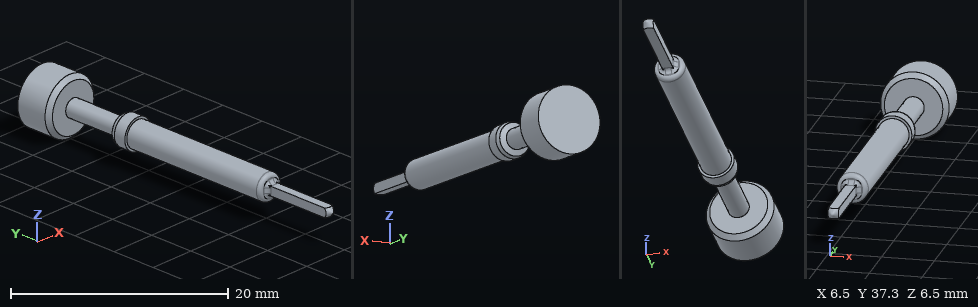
import cadquery as cq
import math

total_length = 37.3

head_diameter = 6.5
head_length = 4.0
head_chamfer = 0.5

shaft_diameter = 2.0

collar_diameter = 3.5
collar_rim_diameter = 3.17
collar_start = 10.25
collar_rim = 10.48
collar_shoulder = 10.93
collar_end = 12.27

barrel_diameter = 3.0
barrel_end = 29.28
barrel_round = 0.45

tail_width = 1.0
tail_flare = 0.45
tail_flare_flat_width = 0.55
tail_point_angle = 45.0


def cylinder(diameter, start, end):
    """Cylinder on the Y axis; start and end are distances from the head face."""
    return cq.Workplane("XZ").workplane(offset=start).circle(diameter / 2).extrude(end - start)


def make_head():
    return cylinder(head_diameter, 0, head_length).faces("<Y").chamfer(head_chamfer)


def turned(profile):
    """Solid of revolution about the Y axis from a closed XY profile."""
    return profile.revolve(360, (0, 0, 0), (0, 1, 0))


def make_collar():
    """Straight outer wall, steep conical rim, then a shallow conical face down to the shaft."""
    return turned(
        cq.Workplane("XY")
        .moveTo(0, -collar_end)
        .lineTo(collar_diameter / 2, -collar_end)
        .lineTo(collar_diameter / 2, -collar_shoulder)
        .lineTo(collar_rim_diameter / 2, -collar_rim)
        .lineTo(shaft_diameter / 2, -collar_start)
        .lineTo(0, -collar_start)
        .close()
    )


def make_barrel():
    return cylinder(barrel_diameter, collar_end, barrel_end).faces("<Y").edges().fillet(barrel_round)


def make_tail():
    """Square bar trimmed by a cone whose apex is the tip of the part."""
    bar_length = total_length - collar_end
    bar = cq.Workplane("XZ").workplane(offset=collar_end).rect(tail_width, tail_width).extrude(bar_length)
    envelope_radius = tail_width
    cone_length = envelope_radius / math.tan(math.radians(tail_point_angle))
    envelope = turned(
        cq.Workplane("XY")
        .moveTo(0, -total_length)
        .lineTo(envelope_radius, -total_length + cone_length)
        .lineTo(envelope_radius, -collar_end)
        .lineTo(0, -collar_end)
        .close()
    )
    return bar.intersect(envelope)


def flare_profile():
    """Concave quarter round from the tail face to the barrel end, rooted inside the barrel."""
    half_width = tail_width / 2
    foot_x = half_width + tail_flare
    root_depth = barrel_round / 2
    root_y = -barrel_end + root_depth
    arc_inset = tail_flare * math.sqrt(0.5)
    return (
        cq.Workplane("XY")
        .moveTo(half_width, root_y)
        .lineTo(foot_x, root_y)
        .lineTo(foot_x, -barrel_end)
        .threePointArc(
            (foot_x - arc_inset, -barrel_end - tail_flare + arc_inset),
            (half_width, -barrel_end - tail_flare),
        )
        .close()
    )


def make_tail_flare():
    """Concave flare, straight along the middle of each tail face and turned around each corner."""
    half_flat = tail_flare_flat_width / 2
    side = flare_profile().extrude(half_flat, both=True)
    corner = (
        flare_profile()
        .revolve(90, (half_flat, 0, 0), (half_flat, 1, 0))
        .translate((0, 0, -half_flat))
    )
    quarter = side.union(corner)
    flare = quarter
    for turn in range(1, 4):
        flare = flare.union(quarter.rotate((0, 0, 0), (0, 1, 0), 90 * turn))
    return flare


shaft = cylinder(shaft_diameter, head_length, collar_end)
result = make_head()
for section in (shaft, make_collar(), make_barrel(), make_tail(), make_tail_flare()):
    result = result.union(section)